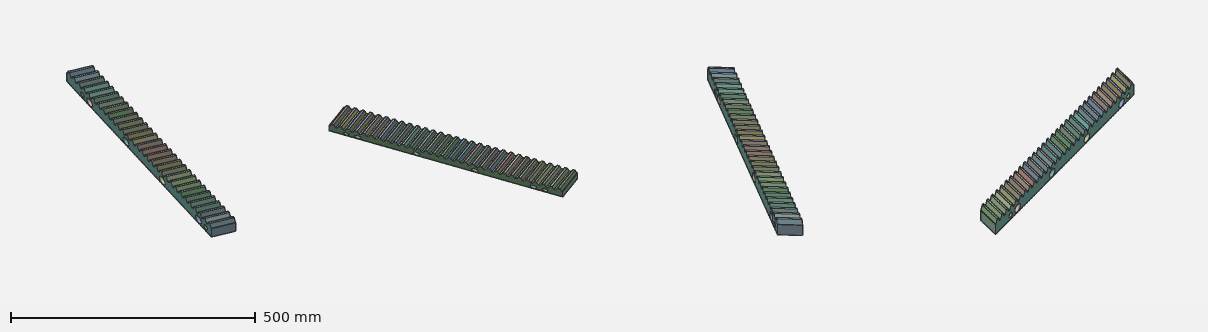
import cadquery as cq
import math

length = 516.5
width = 49.0
height = 39.0
helix_angle = math.radians(19.5)
end_shift = width * math.tan(helix_angle)
face_length = length - end_shift
back_edge_chamfer = 2.0

tooth_count = 30
toothed_length = 500.0
pitch = toothed_length / tooth_count
module = pitch * math.cos(helix_angle) / math.pi
addendum = module
dedendum = 5 / 4 * module
tooth_depth = addendum + dedendum
pressure_angle = math.radians(20)
flank_slope = math.tan(pressure_angle) / math.cos(helix_angle)
root_z = height - tooth_depth
gap_half_top = pitch / 4 + addendum * flank_slope
gap_half_root = gap_half_top - tooth_depth * flank_slope
first_gap_x = (face_length - toothed_length) / 2

hole_z = 12.0
hole_centre_x = end_shift + face_length / 2
screw_count = 4
screw_spacing = toothed_length / screw_count
screw_diameter = 14.0
counterbore_diameter = 20.0
counterbore_depth = 13.0
pin_count = 2
pin_spacing = 424.5
pin_diameter = 12.0

cut_margin = 5.0


def make_blank():
    """Bar with a parallelogram plan and a chamfered lower back edge."""
    plan = [(0, 0), (face_length, 0), (length, width), (end_shift, width)]
    blank = cq.Workplane("XY").polyline(plan).close().extrude(height)
    return blank.faces(">Y").edges("<Z").chamfer(back_edge_chamfer)


def make_gap():
    """Slanted cutter for one tooth gap."""
    cut_shift = cut_margin * math.tan(helix_angle)
    half_cut = gap_half_top + cut_margin * flank_slope
    cut_top = height + cut_margin
    profile = [
        (-half_cut, cut_top),
        (-gap_half_root, root_z),
        (gap_half_root, root_z),
        (half_cut, cut_top),
    ]
    front_start = cq.Workplane("XZ", origin=(-cut_shift, -cut_margin, 0))
    path = cq.Workplane("XY").moveTo(-cut_shift, -cut_margin)
    path = path.lineTo(end_shift + cut_shift, width + cut_margin)
    return front_start.polyline(profile).close().sweep(path)


def cut_teeth(body):
    """Cut the gaps between teeth; the outermost two are clipped by the bar ends."""
    gap = make_gap()
    for index in range(tooth_count + 1):
        body = body.cut(gap.translate((first_gap_x + index * pitch, 0, 0)))
    return body


def spaced_points(count, spacing):
    """Hole positions along X, centred on hole_centre_x."""
    first_x = hole_centre_x - (count - 1) * spacing / 2
    return [(first_x + index * spacing, hole_z) for index in range(count)]


def drill(body, points, diameter, depth):
    """Drill from the front face toward +Y."""
    tool = cq.Workplane("XZ").pushPoints(points).circle(diameter / 2).extrude(-depth)
    return body.cut(tool)


screw_points = spaced_points(screw_count, screw_spacing)
pin_points = spaced_points(pin_count, pin_spacing)

result = cut_teeth(make_blank())
result = drill(result, screw_points, screw_diameter, width)
result = drill(result, screw_points, counterbore_diameter, counterbore_depth)
result = drill(result, pin_points, pin_diameter, width)